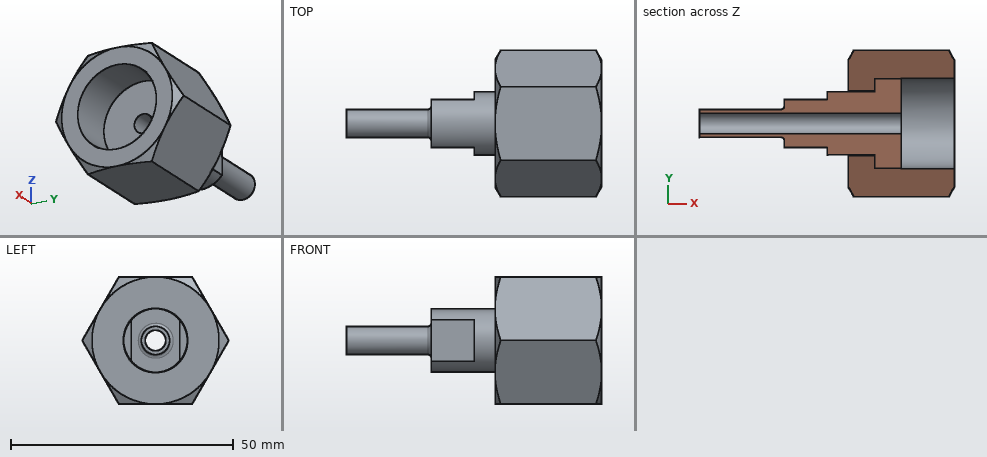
import cadquery as cq
import math


overall_length = 57.34
nut_length = 23.95
nut_start = overall_length - nut_length
tube_length = 19.05
flat_length = 9.65

tube_diameter = 6.35
bore_diameter = 4.57
shank_diameter = 14.27
flat_width = 10.87
root_fillet = 0.76

across_flats = 28.57
across_corners = across_flats / math.cos(math.radians(30))
corner_chamfer_angle = 30
shank_clearance = 0.11
nut_hole_diameter = shank_diameter + 2 * shank_clearance

end_wall = 6.0
collar_start = nut_start + end_wall
collar_length = 6.0
cavity_diameter = 20.3


def cylinder(diameter, start, length):
    """Solid cylinder on the X axis, from start toward +X."""
    return cq.Workplane("YZ", origin=(start, 0, 0)).circle(diameter / 2).extrude(length)


def make_gland():
    tube_radius = tube_diameter / 2
    shank_radius = shank_diameter / 2
    collar_radius = cavity_diameter / 2
    collar_end = collar_start + collar_length
    fillet_centre = (tube_length - root_fillet, tube_radius + root_fillet)
    fillet_middle = (
        fillet_centre[0] + root_fillet * math.cos(math.radians(45)),
        fillet_centre[1] - root_fillet * math.sin(math.radians(45)),
    )
    body = (
        cq.Workplane("XY")
        .lineTo(0, tube_radius)
        .lineTo(fillet_centre[0], tube_radius)
        .threePointArc(fillet_middle, (tube_length, fillet_centre[1]))
        .lineTo(tube_length, shank_radius)
        .lineTo(collar_start, shank_radius)
        .lineTo(collar_start, collar_radius)
        .lineTo(collar_end, collar_radius)
        .lineTo(collar_end, 0)
        .close()
        .revolve(360, (0, 0, 0), (1, 0, 0))
    )
    return cut_wrench_flats(body).cut(cylinder(bore_diameter, 0, collar_end))


def cut_wrench_flats(body):
    """Cut a flat on the +Y and -Y sides of the shank, from its tube end."""
    flat_depth = (shank_diameter - flat_width) / 2
    for side in (1, -1):
        flat = cq.Workplane("XY").box(flat_length, flat_depth, shank_diameter)
        flat_centre = (tube_length + flat_length / 2, side * (flat_width + flat_depth) / 2, 0)
        body = body.cut(flat.translate(flat_centre))
    return body


def make_nut():
    hexagon = cq.Workplane("YZ", origin=(nut_start, 0, 0)).polygon(6, across_corners).extrude(nut_length)
    nut = hexagon.intersect(corner_chamfer_envelope())
    hole = cylinder(nut_hole_diameter, nut_start, end_wall)
    cavity = cylinder(cavity_diameter, collar_start, nut_length - end_wall)
    return nut.cut(hole).cut(cavity)


def corner_chamfer_envelope():
    """Round blank whose cones trim the hexagon's corners at both ends."""
    corner_radius = across_corners / 2
    end_radius = across_flats / 2
    chamfer_length = (corner_radius - end_radius) * math.tan(math.radians(corner_chamfer_angle))
    return (
        cq.Workplane("XY")
        .moveTo(nut_start, 0)
        .lineTo(nut_start, end_radius)
        .lineTo(nut_start + chamfer_length, corner_radius)
        .lineTo(overall_length - chamfer_length, corner_radius)
        .lineTo(overall_length, end_radius)
        .lineTo(overall_length, 0)
        .close()
        .revolve(360, (0, 0, 0), (1, 0, 0))
    )


gland = make_gland()
nut = make_nut()

result = cq.Compound.makeCompound([gland.val(), nut.val()])